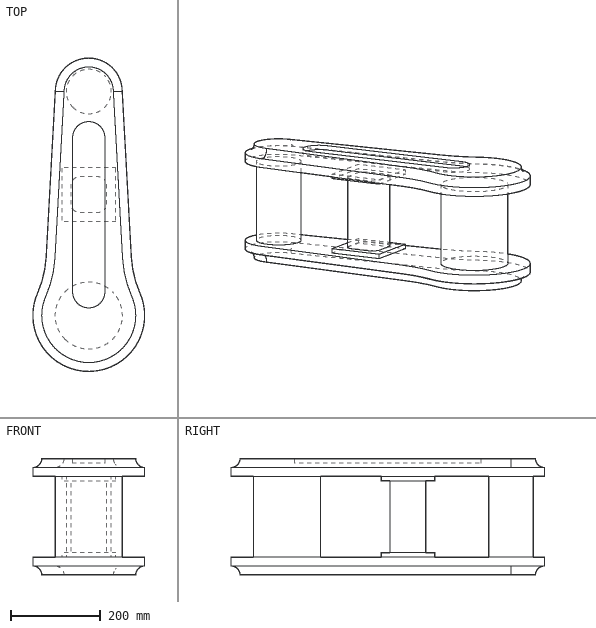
import cadquery as cq
import math

big_radius = 125.0
small_radius = 75.0
centre_distance = 500.0
flank_half_width_at_big_centre = 102.5
neck_radius = 230.0

inner_gap = 180.0
plate_thickness = 40.0
cove_radius = 20.0
cutter_clearance = 5.0

big_post_radius = 75.0
small_post_radius = 50.0

square_post_y = 270.0
square_post_side = 80.0
square_post_corner_radius = 20.0
pad_side = 120.0
pad_thickness = 10.0

recess_y = 225.0
recess_length = 416.0
recess_width = 72.0
recess_depth = 10.0

half_gap = inner_gap / 2
half_height = half_gap + plate_thickness
flank_lean = math.atan2(flank_half_width_at_big_centre - small_radius, centre_distance)


def neck_arc_points():
    """Right-hand neck arc: its end on the flank, its middle and its end on the big end."""
    normal_x = math.cos(flank_lean)
    normal_y = math.sin(flank_lean)
    across = flank_half_width_at_big_centre * normal_x + neck_radius
    along = math.sqrt((big_radius + neck_radius) ** 2 - across**2)
    arc_x = across * normal_x - along * normal_y
    arc_y = across * normal_y + along * normal_x

    flank_point = (arc_x - neck_radius * normal_x, arc_y - neck_radius * normal_y)
    big_share = big_radius / (big_radius + neck_radius)
    big_point = (arc_x * big_share, arc_y * big_share)
    chord_x = (flank_point[0] + big_point[0]) / 2 - arc_x
    chord_y = (flank_point[1] + big_point[1]) / 2 - arc_y
    stretch = neck_radius / math.hypot(chord_x, chord_y)
    middle_point = (arc_x + chord_x * stretch, arc_y + chord_y * stretch)
    return flank_point, middle_point, big_point


def mirrored(point):
    return (-point[0], point[1])


def along_big_end(point):
    """Point on the big end halfway round from the X axis to the given point."""
    angle = math.atan2(point[1], point[0]) / 2
    return (big_radius * math.cos(angle), big_radius * math.sin(angle))


def trace_arm_edge(start):
    """Draw the arm's edge from the right shoulder, round the big end, to the left shoulder.

    The start point lies on the line of the right flank; the edge ends at its mirror image.
    """
    flank_point, middle_point, big_point = neck_arc_points()
    return (
        cq.Workplane("XY", origin=(0, 0, half_gap))
        .moveTo(*start)
        .lineTo(*flank_point)
        .threePointArc(middle_point, big_point)
        .threePointArc(along_big_end(big_point), (big_radius, 0))
        .threePointArc((0, -big_radius), (-big_radius, 0))
        .threePointArc(mirrored(along_big_end(big_point)), mirrored(big_point))
        .threePointArc(mirrored(middle_point), mirrored(flank_point))
        .lineTo(*mirrored(start))
    )


def coved_arm():
    """Big end and tapered arm of the upper plate, with the cove cut along their edge."""
    arm = trace_arm_edge((small_radius, centre_distance)).close().extrude(plate_thickness)

    path_start = (
        small_radius - cutter_clearance * math.tan(flank_lean),
        centre_distance + cutter_clearance,
    )
    section_plane = cq.Plane(
        origin=(*path_start, half_gap),
        xDir=(math.cos(flank_lean), math.sin(flank_lean), 0),
        normal=(math.sin(flank_lean), -math.cos(flank_lean), 0),
    )
    cutter = (
        cq.Workplane(section_plane)
        .moveTo(-cove_radius, plate_thickness)
        .radiusArc((0, plate_thickness - cove_radius), -cove_radius)
        .hLine(cutter_clearance)
        .vLine(cove_radius + cutter_clearance)
        .hLine(-cutter_clearance - cove_radius)
        .close()
        .sweep(trace_arm_edge(path_start))
    )
    return arm.cut(cutter)


def coved_small_end():
    """Half disc closing the narrow end of the arm, turned with the same cove."""
    return (
        cq.Workplane("XZ", origin=(0, centre_distance, half_gap))
        .hLine(small_radius)
        .vLine(plate_thickness - cove_radius)
        .radiusArc((small_radius - cove_radius, plate_thickness), cove_radius)
        .hLineTo(0)
        .close()
        .revolve(180, (0, 0), (0, 1))
    )


def post(radius, y):
    return cq.Workplane("XY", origin=(0, y, -half_gap)).circle(radius).extrude(inner_gap)


def square_post():
    return (
        cq.Workplane("XY", origin=(0, square_post_y, -half_gap))
        .rect(square_post_side, square_post_side)
        .extrude(inner_gap)
        .edges("|Z")
        .fillet(square_post_corner_radius)
    )


def upper_pad():
    return (
        cq.Workplane("XY", origin=(0, square_post_y, half_gap))
        .rect(pad_side, pad_side)
        .extrude(-pad_thickness)
    )


def top_recess():
    return (
        cq.Workplane("XY", origin=(0, recess_y, half_height))
        .slot2D(recess_length, recess_width, 90)
        .extrude(-recess_depth)
    )


upper_half = coved_arm().union(coved_small_end()).union(upper_pad())
lower_half = upper_half.mirror("XY")

result = (
    upper_half.union(lower_half)
    .union(post(big_post_radius, 0))
    .union(post(small_post_radius, centre_distance))
    .union(square_post())
    .cut(top_recess())
)